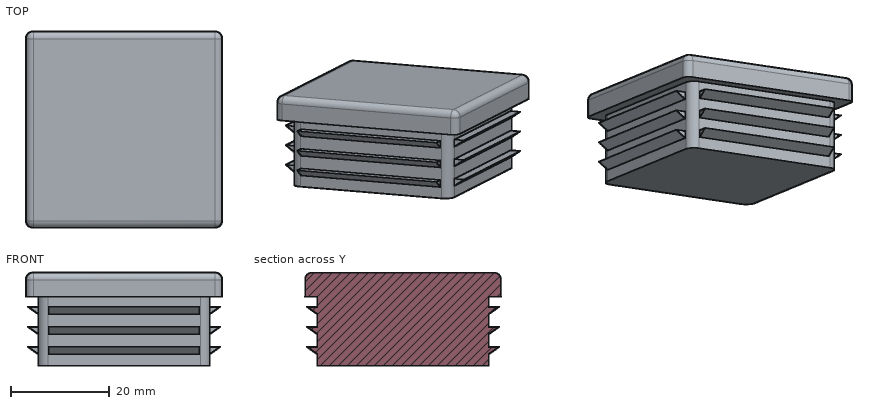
import cadquery as cq

cap_side = 40.0
cap_height = 5.0
cap_radius = 1.5

plug_side = 35.0
plug_height = 14.0
plug_radius = 2.0

fin_reach = 2.1
fin_height = 1.5
fin_length = 30.6
fin_count = 3
fin_pitch = 4.1
first_fin_drop = 2.0


def make_cap():
    blank = cq.Workplane("XY").workplane(offset=plug_height).rect(cap_side, cap_side).extrude(cap_height)
    return blank.edges("|Z or >Z").fillet(cap_radius)


def make_plug():
    return cq.Workplane("XY").rect(plug_side, plug_side).extrude(plug_height).edges("|Z").fillet(plug_radius)


def make_fin(top):
    """Triangular fin on the +X face of the plug, with its flat side at height top."""
    face = plug_side / 2
    profile = [(face, top), (face + fin_reach, top), (face, top - fin_height)]
    return cq.Workplane("XZ").polyline(profile).close().extrude(fin_length / 2, both=True)


result = make_cap().union(make_plug())
for row in range(fin_count):
    fin = make_fin(plug_height - first_fin_drop - row * fin_pitch)
    for quarter_turn in range(4):
        result = result.union(fin.rotate((0, 0, 0), (0, 0, 1), 90 * quarter_turn))